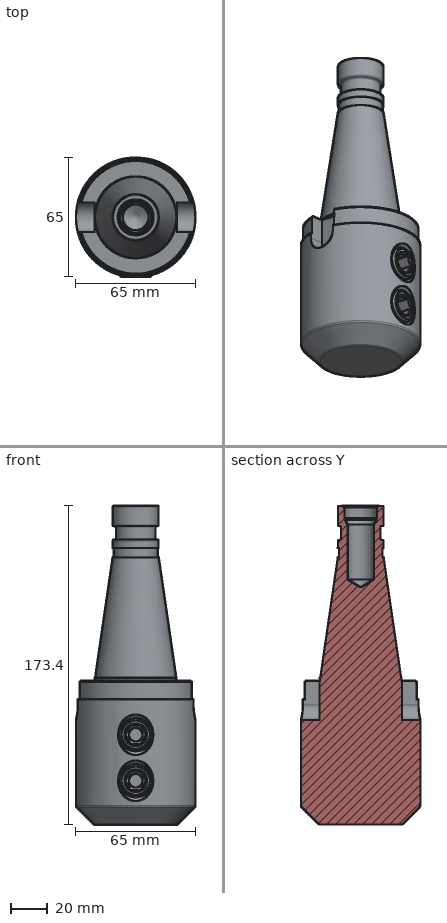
import cadquery as cq
import math


body_radius = 65.0 / 2
nose_chamfer = 10.0
nose_blend_radius = 1.5
taper_base = 80.0
flange_gap = 1.6
flange_radius = 63.0 / 2
flange_thickness = 10.0
edge_chamfer = 0.8
flange_top = taper_base - flange_gap
body_top = flange_top - flange_thickness
body_shoulder_chamfer = 0.4

taper_large_radius = 44.2 / 2
taper_length = 65.4
taper_ratio = 7 / 24
taper_small_radius = taper_large_radius - taper_length * taper_ratio / 2
taper_top = taper_base + taper_length

collar_radius = 44.6 / 2
collar_chamfer = collar_radius - taper_large_radius

shank_length = 93.4
shank_top = taper_base + shank_length
pilot_radius = 25.0 / 2
pilot_relief_radius = 24.0 / 2
groove_radius = 21.7 / 2
relief_top = shank_top - 23.0
groove_bottom = shank_top - 18.4
groove_top = shank_top - 11.15
pilot_edge_radius = 0.8
corner_radius = 0.5

mouth_radius = 9.8
drawbar_bore_radius = 17.4 / 2
drawbar_step = 0.3
drawbar_step_depth = 6.6
drawbar_bore_depth = 7.8
thread_radius = 14.0 / 2
thread_depth = 40.0
thread_lead_in_angle = 30.0
drill_point_angle = 59.0
mouth_chamfer = mouth_radius - drawbar_bore_radius
lead_in_radius = drawbar_bore_radius - drawbar_step
lead_in_depth = (lead_in_radius - thread_radius) / math.tan(math.radians(thread_lead_in_angle))
drill_point_depth = thread_radius / math.tan(math.radians(drill_point_angle))

slot_width = 16.1
slot_wall_offset = 22.5
slot_bottom = 57.0

screw_heights = (24.0, 49.0)
screw_radius = 18.0 / 2
screw_chamfer = 1.3
screw_face_y = -body_radius
countersink_radius = 11.0
socket_across_flats = 10.0
socket_mouth_radius = 6.1
socket_depth = 9.0
socket_floor_radius = 3.7

socket_corner_radius = socket_across_flats / math.sqrt(3)
socket_inradius = socket_across_flats / 2
countersink_depth = countersink_radius - screw_radius
socket_mouth_depth = socket_mouth_radius - socket_inradius
socket_cone_depth = socket_corner_radius - socket_floor_radius

tolerance = 1e-4


def revolve_profile(points):
    """Revolve a closed (radius, height) outline about the Z axis."""
    return cq.Workplane("XZ").polyline(points).close().revolve(360, (0, 0, 0), (0, 1, 0))


def round_circular_edge(solid, radius, height, fillet_radius):
    """Fillet the one circular edge of a turned solid that passes through (radius, height)."""
    circles = solid.edges("%CIRCLE").vals()
    edges = [
        edge for edge in circles
        if math.isclose(edge.radius(), radius, abs_tol=tolerance)
        and math.isclose(edge.Center().z, height, abs_tol=tolerance)
    ]
    return solid.newObject(edges).fillet(fillet_radius)


def make_body():
    nose = revolve_profile([
        (0, 0),
        (body_radius - nose_chamfer, 0),
        (body_radius, nose_chamfer),
        (body_radius, body_top - body_shoulder_chamfer),
        (body_radius - body_shoulder_chamfer, body_top),
        (0, body_top),
    ])
    nose = round_circular_edge(nose, body_radius - nose_chamfer, 0, nose_blend_radius)
    nose = round_circular_edge(nose, body_radius, nose_chamfer, nose_blend_radius)
    flange = cq.Workplane().workplane(offset=body_top).circle(flange_radius).extrude(flange_thickness)
    return nose.union(flange.faces(">Z").chamfer(edge_chamfer))


def make_shank():
    shank = revolve_profile([
        (0, flange_top),
        (collar_radius, flange_top),
        (collar_radius, taper_base - collar_chamfer),
        (taper_large_radius, taper_base),
        (taper_small_radius, taper_top),
        (pilot_relief_radius, taper_top),
        (pilot_relief_radius, relief_top),
        (pilot_radius, relief_top),
        (pilot_radius, groove_bottom),
        (groove_radius, groove_bottom),
        (groove_radius, groove_top),
        (pilot_radius, groove_top),
        (pilot_radius, shank_top),
        (0, shank_top),
    ])
    for edge_height in (groove_bottom, groove_top, shank_top):
        shank = round_circular_edge(shank, pilot_radius, edge_height, pilot_edge_radius)
    for corner_height in (groove_bottom, groove_top):
        shank = round_circular_edge(shank, groove_radius, corner_height, corner_radius)
    return round_circular_edge(shank, pilot_relief_radius, taper_top, corner_radius)


def make_drawbar_hole():
    step_height = shank_top - drawbar_step_depth
    bore_bottom = shank_top - drawbar_bore_depth
    thread_bottom = shank_top - thread_depth
    return revolve_profile([
        (0, shank_top),
        (mouth_radius, shank_top),
        (drawbar_bore_radius, shank_top - mouth_chamfer),
        (drawbar_bore_radius, step_height),
        (lead_in_radius, step_height),
        (lead_in_radius, bore_bottom),
        (thread_radius, bore_bottom - lead_in_depth),
        (thread_radius, thread_bottom),
        (0, thread_bottom - drill_point_depth),
    ])


def make_driving_slot(side):
    """Round-bottomed slot, open at the top and outwards, on the +X or -X side."""
    slot_radius = slot_width / 2
    slot_centre = slot_bottom + slot_radius
    return (
        cq.Workplane("YZ", origin=(side * slot_wall_offset, 0, 0))
        .moveTo(-slot_radius, taper_base)
        .lineTo(-slot_radius, slot_centre)
        .threePointArc((0, slot_bottom), (slot_radius, slot_centre))
        .lineTo(slot_radius, taper_base)
        .close()
        .extrude(side * body_radius)
    )


def inward_cone(height, depth, start_radius, end_radius, length):
    """Frustum on a screw axis that starts at a depth and runs inwards."""
    cone = cq.Solid.makeCone(
        start_radius, end_radius, length,
        cq.Vector(0, screw_face_y + depth, height), cq.Vector(0, 1, 0),
    )
    return cq.Workplane(cone)


def inward_cylinder(height, depth, radius, length):
    """Cylinder on a screw axis that starts at a depth and runs inwards."""
    start = cq.Workplane("XZ", origin=(0, screw_face_y + depth, height))
    return start.circle(radius).extrude(-length)


def make_countersink(height):
    return inward_cone(height, 0, countersink_radius, screw_radius, countersink_depth)


def make_screw_end(height):
    """Chamfered screw end that fills the countersunk hole up to the screw face."""
    chamfered_end = inward_cone(height, 0, screw_radius - screw_chamfer, screw_radius, screw_chamfer)
    root = inward_cylinder(height, screw_chamfer, screw_radius, countersink_depth)
    return chamfered_end.union(root)


def make_screw_socket(height):
    """Hexagon socket with a chamfered mouth and a conical bottom down to a flat floor."""
    hexagon = cq.Workplane("XZ", origin=(0, screw_face_y, height))
    hexagon = hexagon.polygon(6, 2 * socket_corner_radius).extrude(-socket_depth - socket_cone_depth)
    drilled = inward_cylinder(height, 0, socket_corner_radius, socket_depth)
    bottom = inward_cone(height, socket_depth, socket_corner_radius, socket_floor_radius, socket_cone_depth)
    mouth = inward_cone(height, 0, socket_mouth_radius, socket_inradius, socket_mouth_depth)
    return hexagon.intersect(drilled.union(bottom)).union(mouth)


result = make_body().union(make_shank()).cut(make_drawbar_hole())
for side in (-1, 1):
    result = result.cut(make_driving_slot(side))
for height in screw_heights:
    result = result.cut(make_countersink(height))
    result = result.union(make_screw_end(height))
    result = result.cut(make_screw_socket(height))